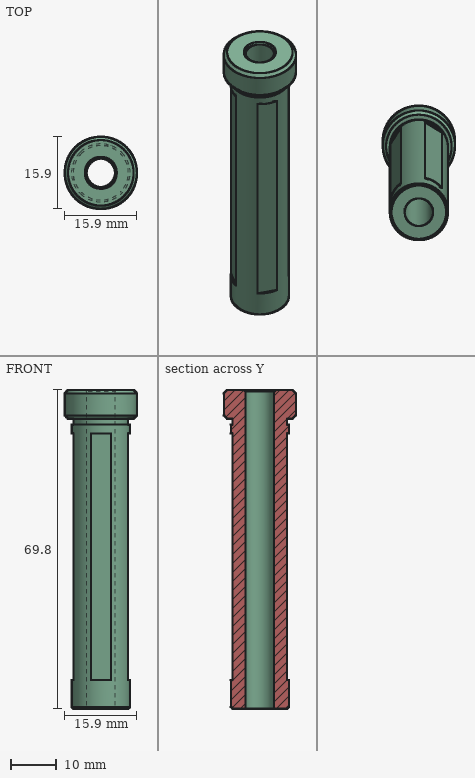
import cadquery as cq

total_length = 69.85
head_height = 6.35
neck_height = 1.27

head_diameter = 15.875
shank_diameter = 12.78
neck_diameter = 12.0
bore_diameter = 6.2

head_chamfer = 0.76
shank_end_chamfer = 0.4
bore_chamfer = 0.4
bore_chamfer_angle = 45

flat_count = 4
flat_across = neck_diameter
flat_top_below_head = 3.175
flat_bottom_height = 6.35

head_bottom = total_length - head_height
neck_bottom = head_bottom - neck_height
flat_top_height = head_bottom - flat_top_below_head


def make_shank():
    """Plain shank with a chamfered free end."""
    shank = cq.Workplane("XY").circle(shank_diameter / 2).extrude(neck_bottom)
    return shank.faces("<Z").edges().chamfer(shank_end_chamfer)


def make_neck():
    """Relief neck between the shank and the head."""
    return cq.Workplane("XY", origin=(0, 0, neck_bottom)).circle(neck_diameter / 2).extrude(neck_height)


def make_head():
    """Larger head with both rims chamfered."""
    head = cq.Workplane("XY", origin=(0, 0, head_bottom)).circle(head_diameter / 2).extrude(head_height)
    return head.edges().chamfer(head_chamfer)


def cut_flats(body):
    """Mill equally spaced lengthwise flats into the shank."""
    flat_length = flat_top_height - flat_bottom_height
    cutter = (
        cq.Workplane("XY", origin=(flat_across / 2, 0, flat_bottom_height))
        .box(shank_diameter, shank_diameter, flat_length, centered=(False, True, False))
    )
    for index in range(flat_count):
        angle = index * 360 / flat_count
        body = body.cut(cutter.rotate((0, 0, 0), (0, 0, 1), angle))
    return body


def cut_bore(body):
    """Bore through the whole length and chamfer its mouth in the head."""
    bore = cq.Workplane("XY").circle(bore_diameter / 2).extrude(total_length)
    mouth = (
        cq.Workplane("XY", origin=(0, 0, total_length))
        .circle(bore_diameter / 2 + bore_chamfer)
        .extrude(-bore_chamfer, taper=bore_chamfer_angle)
    )
    return body.cut(bore).cut(mouth)


body = make_shank().union(make_neck()).union(make_head())
result = cut_bore(cut_flats(body))